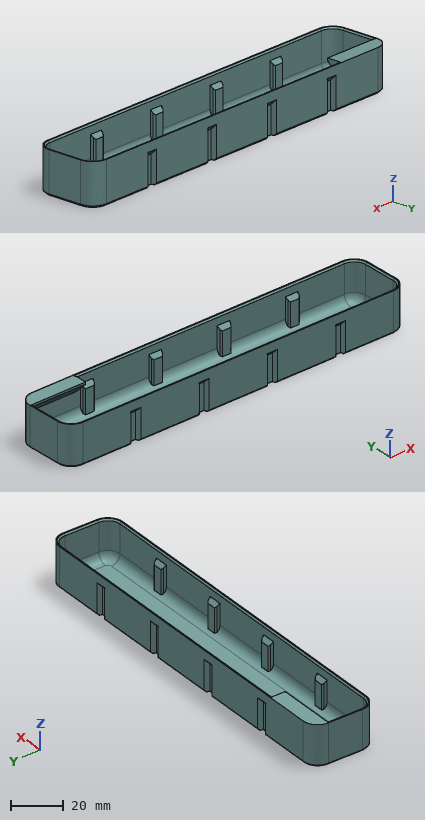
import cadquery as cq

length = 169.2
width = 30.0
height = 19.1
corner_radius = 7.0
bottom_chamfer = 1.0

wall = 1.2
floor = 1.0
floor_fillet = 4.0
rim_land = 0.5
rim_chamfer = wall - rim_land

cover_length = 27.8
cover_width = 7.1
cover_edge = 1.0

groove_count = 4
groove_pitch = 34.2
groove_mouth = 4.9
groove_back = 3.9
groove_depth = 2.4
groove_top = height - 4.2

rib_base = 6.3
rib_tip = 4.2
rib_bevel = 0.7
rib_reach = 3.0
rib_top = groove_top


def rounded_block(size_x, size_y, bottom, top, radius):
    """Upright block with rounded corners, centred on the Z axis."""
    block = cq.Workplane("XY").workplane(offset=bottom).rect(size_x, size_y).extrude(top - bottom)
    return block.edges("|Z").fillet(radius)


def make_shell():
    """Chamfered body with a round-bottomed cavity and a chamfered inner rim."""
    body = rounded_block(length, width, 0, height, corner_radius)
    body = body.faces("<Z").edges().chamfer(bottom_chamfer)
    cavity = rounded_block(length - 2 * wall, width - 2 * wall, floor, height, corner_radius - wall)
    cavity = cavity.faces("<Z").edges().fillet(floor_fillet)

    margin = wall / 2
    inner_rim = cq.selectors.BoxSelector(
        (margin - length / 2, margin - width / 2, height - margin),
        (length / 2 - margin, width / 2 - margin, height + margin),
        boundingbox=True,
    )
    return body.cut(cavity).edges(inner_rim).chamfer(rim_chamfer)


def make_cover():
    """Wedge along the +Y wall at the -X end, trimmed to the rounded body outline."""
    free_edge = width / 2 - cover_width
    profile = [
        (free_edge, height),
        (free_edge, height - cover_edge),
        (width / 2, height - cover_edge - cover_width),
        (width / 2, height),
    ]
    wedge = cq.Workplane("YZ").workplane(offset=-length / 2).polyline(profile).close().extrude(cover_length)
    return wedge.intersect(rounded_block(length, width, 0, height, corner_radius))


def tapered_bar(x, stations, bottom, top):
    """Upright symmetric bar on the -Y wall, given as (depth from the outer face, width) stations.

    Its top starts at the given height and slopes down inward at 45 degrees.
    """
    outer_face = -width / 2
    right_side = [(x + across / 2, outer_face + depth) for depth, across in stations]
    left_side = [(x - across / 2, outer_face + depth) for depth, across in reversed(stations)]
    bar = cq.Workplane("XY").workplane(offset=bottom).polyline(right_side + left_side).close()
    bar = bar.extrude(top - bottom)

    start = stations[0][0]
    end = stations[-1][0]
    side_outline = [
        (outer_face + start, bottom),
        (outer_face + start, top),
        (outer_face + end, top - (end - start)),
        (outer_face + end, bottom),
    ]
    envelope = cq.Workplane("YZ").polyline(side_outline).close().extrude(length / 2, both=True)
    return bar.intersect(envelope)


def on_both_walls(bar):
    """The bar together with its mirror image on the +Y wall."""
    return bar.union(bar.mirror("XZ"))


groove_stations = [(0, groove_mouth), (groove_depth, groove_back)]
rib_stations = [
    (wall, rib_base),
    (rib_reach - rib_bevel, rib_tip + 2 * rib_bevel),
    (rib_reach, rib_tip),
]

result = make_shell().union(make_cover())

first_x = -groove_pitch * (groove_count - 1) / 2
for index in range(groove_count):
    groove_x = first_x + index * groove_pitch
    rib = tapered_bar(groove_x, rib_stations, floor, rib_top)
    groove = tapered_bar(groove_x, groove_stations, 0, groove_top)
    result = result.union(on_both_walls(rib)).cut(on_both_walls(groove))